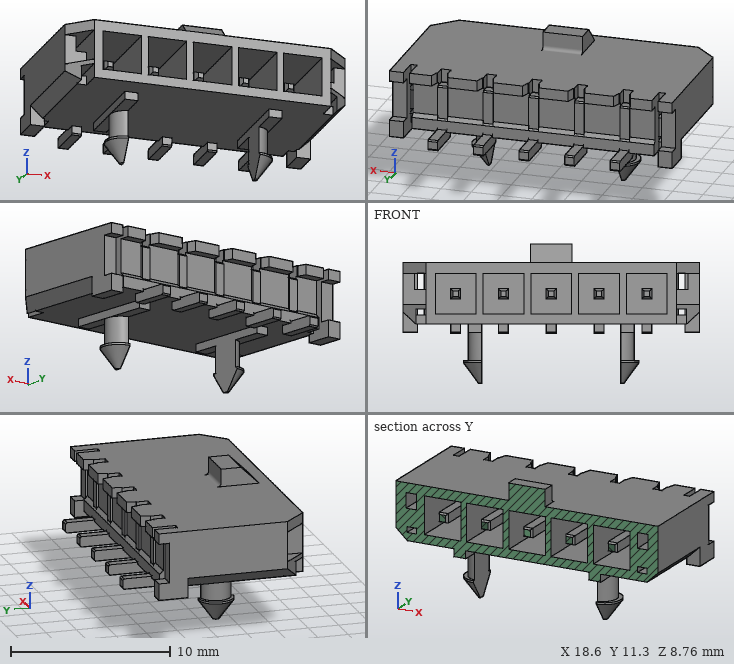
import cadquery as cq
import math


length = 18.65
half_length = length / 2
height = 3.88
depth = 9.92
plate_thickness = 0.69
plate_underside = height - plate_thickness
corner_cut = 1.45
face_half = half_length - corner_cut
rear_recess = 0.7
rear_wall = depth - rear_recess
ledge_top = 0.58

cell_count = 5
pitch = 3.0
cell_size = 2.55
cell_center_z = 1.9
cell_depth = 7.46
cell_xs = [(i - (cell_count - 1) / 2) * pitch for i in range(cell_count)]

slot_outer = 8.4
slot_inner = 7.98
slot_front = 8.41
foot_front = 8.0
standoff = 0.52
edge_bevel_width = 0.82
edge_bevel_height = 0.76
bevel_inner = half_length - edge_bevel_width
pocket_floor = 1.23
upper_window_outer = 8.58
upper_window_floor = 2.18
lower_window_top = 0.93

latch_width = 2.61
latch_height = 1.15
latch_front = 0.82
latch_crest_front = 2.01
latch_rear = 3.32
latch_toe_radius = 0.25

peg_flat = 4.36
peg_base_width = 0.85
peg_base_front = 1.73
peg_base_rear = 7.72
peg_y = 4.63
stem_axis_offset = 0.15
stem_radius = 1.0
barb_radius = 1.15
barb_tip_radius = 0.2
barb_top = -2.3
barb_rim = 0.13
peg_bottom = -3.73

pin_width = 0.63
blade_height = 0.63
blade_tip_y = 2.24
blade_tip_inset = 0.15
blade_tip_length = 0.37
leg_thickness = 0.69
leg_rear = 9.35
leg_front = leg_rear - leg_thickness
leg_top = 3.02
tail_rear = 11.35
tail_bottom = -0.58
tail_top = tail_bottom + leg_thickness
pin_edge_bevel = 0.1
bend_radius = 0.22

notch_mouth = 1.08
notch_bottom = 0.75
notch_front = 9.32
pin_slot_front = 8.58
rail_rear = 9.45
rail_height = 0.75


def box(x0, x1, y0, y1, z0, z1):
    """Block between two opposite corners."""
    return cq.Workplane("XY").box(x1 - x0, y1 - y0, z1 - z0, centered=False).translate((x0, y0, z0))


def side_prism(points, width):
    """Prism with a (Y, Z) outline, centred on X = 0."""
    return cq.Workplane("YZ").polyline(points).close().extrude(width / 2, both=True)


def hollow_arc_middle(upper, lower):
    """Middle of a hollow quarter circle from a vertical line down to a horizontal one."""
    radius = lower[0] - upper[0]
    sag = radius * (1 - math.sqrt(0.5))
    return (upper[0] + sag, lower[1] + sag)


def both_ends(shape):
    """The shape together with its mirror image in X = 0."""
    return shape.union(shape.mirror("YZ"))


def make_shell():
    outline = [
        (-face_half, 0),
        (face_half, 0),
        (half_length, corner_cut),
        (half_length, depth),
        (-half_length, depth),
        (-half_length, corner_cut),
    ]
    shell = cq.Workplane("XY").polyline(outline).close().extrude(height)
    recess = box(-half_length, half_length, rear_wall, depth, ledge_top, plate_underside)
    under_body = box(-slot_inner, slot_inner, rear_wall, depth, 0, ledge_top)
    return shell.cut(recess).cut(under_body)


def make_rail():
    step = rail_rear - rear_wall
    outline = [
        (rear_wall - step, 0),
        (rail_rear, 0),
        (rail_rear, rail_height),
        (rear_wall, rail_height + step),
        (rear_wall - step, rail_height + step),
    ]
    return side_prism(outline, 2 * slot_inner)


def make_latch():
    top = height + latch_height
    toe_top = (latch_rear, height + latch_toe_radius)
    toe_end = (latch_rear + latch_toe_radius, height)
    return (
        cq.Workplane("YZ")
        .moveTo(latch_front, height)
        .lineTo(latch_crest_front, top)
        .lineTo(latch_rear, top)
        .lineTo(*toe_top)
        .threePointArc(hollow_arc_middle(toe_top, toe_end), toe_end)
        .close()
        .extrude(latch_width / 2, both=True)
    )


def make_foot():
    """Standoff below the rear of the left ear."""
    return box(-half_length, -slot_outer, foot_front, depth, -standoff, ledge_top)


def make_peg():
    """Left half peg: base bar, round stem and conical barb, all flat on the inner side."""
    base = box(-peg_flat - peg_base_width, -peg_flat, peg_base_front, peg_base_rear, -standoff, 0)
    stem = (
        cq.Workplane("XY", origin=(-peg_flat + stem_axis_offset, peg_y, barb_top))
        .circle(stem_radius)
        .extrude(-standoff - barb_top)
    )
    barb_outline = [
        (0, barb_top),
        (barb_radius, barb_top),
        (barb_radius, barb_top - barb_rim),
        (barb_tip_radius, peg_bottom),
        (0, peg_bottom),
    ]
    barb = (
        cq.Workplane("XZ")
        .polyline(barb_outline)
        .close()
        .revolve(360, (0, 0), (0, 1))
        .translate((-peg_flat, peg_y, 0))
    )
    inner_side = box(-peg_flat, 0, 0, depth, peg_bottom, -standoff)
    return base.union(stem.union(barb).cut(inner_side))


def cell(x):
    half = cell_size / 2
    return box(x - half, x + half, 0, cell_depth, cell_center_z - half, cell_center_z + half)


def ear_cuts():
    """Openings of the left ear."""
    pocket = box(-half_length, -face_half, 0, corner_cut, pocket_floor, plate_underside)
    upper_window = box(
        -upper_window_outer, -face_half, corner_cut, slot_front, upper_window_floor, plate_underside
    )
    lower_notch = box(-bevel_inner, -face_half, 0, corner_cut, 0, lower_window_top)
    lower_window = box(-bevel_inner, -face_half, corner_cut, slot_front, ledge_top, lower_window_top)
    rear_slot = box(-slot_outer, -slot_inner, slot_front, depth, -standoff, height)
    edge_bevel = (
        cq.Workplane("XZ")
        .polyline([(-half_length, 0), (-bevel_inner, 0), (-half_length, edge_bevel_height)])
        .close()
        .extrude(-foot_front)
    )
    cuts = pocket
    for opening in (upper_window, lower_notch, lower_window, rear_slot, edge_bevel):
        cuts = cuts.union(opening)
    return cuts


def pin_opening(x):
    """Tapered notch in the top plate and the slot that runs forward from it."""
    notch_outline = [
        (-notch_mouth / 2, depth),
        (-notch_bottom / 2, notch_front),
        (notch_bottom / 2, notch_front),
        (notch_mouth / 2, depth),
    ]
    notch = (
        cq.Workplane("XY", origin=(0, 0, plate_underside))
        .polyline(notch_outline)
        .close()
        .extrude(plate_thickness)
    )
    slot = box(-pin_width / 2, pin_width / 2, pin_slot_front, notch_front, leg_top, height)
    return notch.union(slot).translate((x, 0, 0))


def make_pin(x):
    """Contact blade, upright leg and solder tail of one pin."""
    bevel = pin_edge_bevel
    bend_top = (leg_rear, tail_top + bend_radius)
    bend_end = (leg_rear + bend_radius, tail_top)
    leg = (
        cq.Workplane("YZ")
        .moveTo(leg_front, leg_top)
        .lineTo(leg_rear - bevel, leg_top)
        .lineTo(leg_rear, leg_top - bevel)
        .lineTo(*bend_top)
        .threePointArc(hollow_arc_middle(bend_top, bend_end), bend_end)
        .lineTo(tail_rear - bevel, tail_top)
        .lineTo(tail_rear, tail_top - bevel)
        .lineTo(tail_rear, tail_bottom + bevel)
        .lineTo(tail_rear - bevel, tail_bottom)
        .lineTo(leg_front + bevel, tail_bottom)
        .lineTo(leg_front, tail_bottom + bevel)
        .close()
        .extrude(pin_width / 2, both=True)
    )
    shank_front = blade_tip_y + blade_tip_length
    blade = (
        cq.Workplane("XZ", origin=(0, shank_front, cell_center_z))
        .rect(pin_width, blade_height)
        .extrude(shank_front - leg_front)
    )
    tip = (
        cq.Workplane("XZ", origin=(0, shank_front, cell_center_z))
        .rect(pin_width, blade_height)
        .workplane(offset=blade_tip_length)
        .rect(pin_width - 2 * blade_tip_inset, blade_height - 2 * blade_tip_inset)
        .loft()
    )
    blade = blade.union(tip)
    return leg.union(blade).translate((x, 0, 0))


def make_housing(pins):
    housing = make_shell().union(make_rail()).union(make_latch())
    housing = housing.cut(both_ends(ear_cuts()))
    housing = housing.union(both_ends(make_foot())).union(both_ends(make_peg()))
    for x in cell_xs:
        housing = housing.cut(cell(x)).cut(pin_opening(x))
    for pin in pins:
        housing = housing.cut(pin)
    return housing


pins = [make_pin(x) for x in cell_xs]
housing = make_housing(pins)
result = cq.Compound.makeCompound([housing.val(), *[pin.val() for pin in pins]])